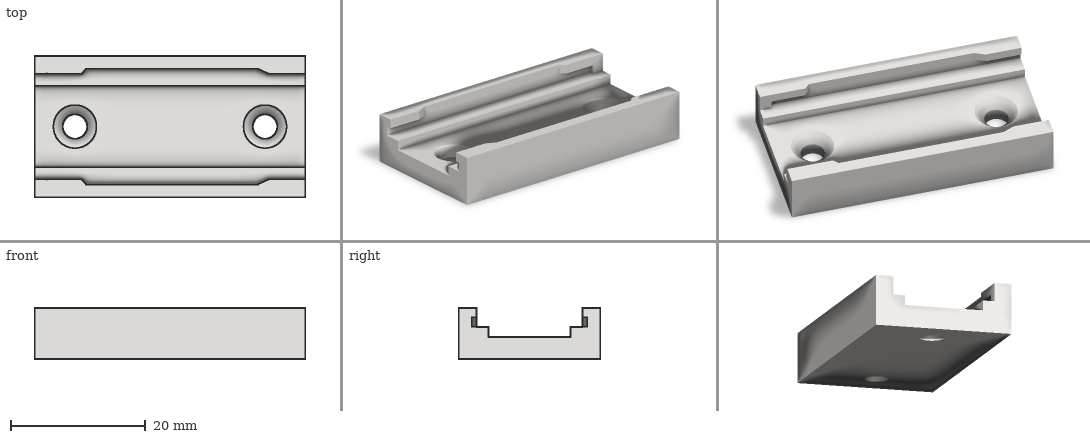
import cadquery as cq

length = 40.2
width = 21.0
height = 7.6

floor_height = 3.3
floor_width = 12.1
ledge_height = 4.8
lip_gap = 15.7

pocket_depth = 0.75
pocket_width = lip_gap + 2 * pocket_depth
lip_thickness = 1.4
stop_length = 1.8
entry_lip_length = 7.0
entry_taper_length = 0.7
exit_lip_length = 5.5
exit_taper_length = 1.65

hole_diameter = 3.6
countersink_diameter = 6.4
countersink_angle = 90.0
hole_end_distance = 6.0

x_min = -length / 2
x_max = length / 2


def slot_cutter(x_start, x_end, slot_width, z_bottom, z_top):
    """Box centred on Y = 0, spanning the given X and Z ranges."""
    slot_length = x_end - x_start
    slot_height = z_top - z_bottom
    box = cq.Workplane("XY").box(slot_length, slot_width, slot_height, centered=(False, True, False))
    return box.translate((x_start, 0, z_bottom))


def lip_opening_cutter():
    """Widened middle of the channel, tapering back to the lips at both ends."""
    entry_start = x_min + entry_lip_length
    entry_end = entry_start + entry_taper_length
    exit_end = x_max - exit_lip_length
    exit_start = exit_end - exit_taper_length
    half_gap = lip_gap / 2
    half_pocket = pocket_width / 2
    outline = [
        (entry_start, -half_gap),
        (entry_end, -half_pocket),
        (exit_start, -half_pocket),
        (exit_end, -half_gap),
        (exit_end, half_gap),
        (exit_start, half_pocket),
        (entry_end, half_pocket),
        (entry_start, half_gap),
    ]
    profile = cq.Workplane("XY").workplane(offset=ledge_height).polyline(outline).close()
    return profile.extrude(height - ledge_height)


def make_block():
    """Block with the stepped channel running through both ends."""
    block = slot_cutter(x_min, x_max, width, 0, height)
    block = block.cut(slot_cutter(x_min, x_max, floor_width, floor_height, height))
    return block.cut(slot_cutter(x_min, x_max, lip_gap, ledge_height, height))


def cut_side_pockets(body):
    """Undercut below the lips from the end stops to the +X end, plus the opening between the lips."""
    undercut = slot_cutter(x_min + stop_length, x_max, pocket_width, ledge_height, height - lip_thickness)
    return body.cut(undercut).cut(lip_opening_cutter())


def cut_screw_holes(body):
    """Two countersunk through holes in the channel floor."""
    hole_centers = [
        (x_min + hole_end_distance, 0),
        (x_max - hole_end_distance, 0),
    ]
    floor_plane = body.copyWorkplane(cq.Workplane("XY", origin=(0, 0, floor_height)))
    return floor_plane.pushPoints(hole_centers).cskHole(
        hole_diameter, countersink_diameter, countersink_angle
    )


result = cut_screw_holes(cut_side_pockets(make_block()))